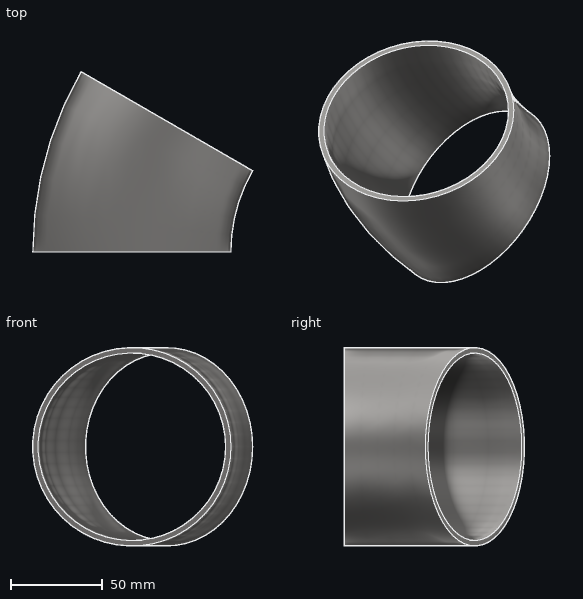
import cadquery as cq

outer_diameter = 108.0
wall_thickness = 3.0
bend_radius = 142.5
bend_angle = 30.0

outer_radius = outer_diameter / 2
inner_radius = outer_radius - wall_thickness


def make_elbow():
    """Revolve the ring section about a bend axis parallel to Z, from the Y = 0 face toward +Y."""
    ring = cq.Workplane("XZ").circle(outer_radius).circle(inner_radius)
    axis_start = (bend_radius, 0)
    axis_end = (bend_radius, -1)
    return ring.revolve(bend_angle, axis_start, axis_end)


result = make_elbow()